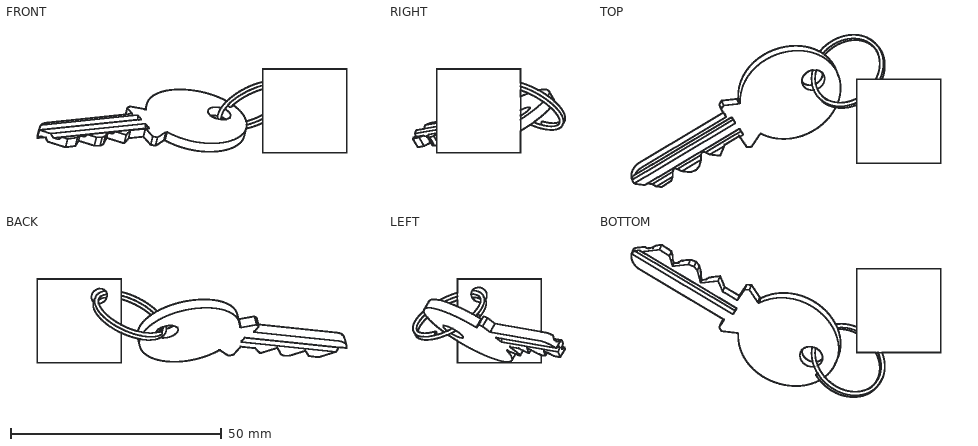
import cadquery as cq
import math

CUBE_SIDE = 20.0
TUNNEL_DIAMETER = 3.4

RING_CENTRE = (-12.12, 11.87, 1.28)
RING_AXIS = (-0.39, 0.445, 0.806)
RING_RADIUS = 8.9
WIRE_DIAMETER = 0.9
RING_PITCH = 0.96
RING_START_ANGLE = 222.0
RING_END_ANGLE = 867.0
RING_CENTRE_ANGLE = 540.0

KEY_ORIGIN = (-20.33, 9.80, -0.565)
KEY_LENGTH_DIRECTION = (0.8555, 0.5100, 0.0892)
KEY_TOP_NORMAL = (0.2068, -0.4946, 0.8442)
KEY_THICKNESS = 2.4
KEY_HOLE_DIAMETER = 5.5

BOW_CENTRE = (-6.75, -0.25)
BOW_RADIUS = 12.0
BOW_FRONT_REACH = 12.6

GUARD_NOTCH_U = -17.9
GUARD_NOTCH_OFFSET = 5.2
GUARD_TIP_U = -21.2
GUARD_TIP_OFFSET = 7.0
GUARD_BACK_U = -22.2
GUARD_BACK_OFFSET = 6.4

BLADE_BACK_V = 3.6
BLADE_ROOT_V = -3.0
BLADE_TIP_ARC = [(-45.8, BLADE_BACK_V), (-48.1, 2.8), (-49.45, 1.0)]
BLADE_CUTS = [
    (-49.1, 0.4),
    (-44.4, -4.03),
    (-41.6, -3.9),
    (-39.6, -1.9),
    (-36.7, -4.6),
    (-35.3, -4.9),
    (-34.1, -4.4),
    (-31.8, -1.9),
    (-28.6, -4.9),
    (-26.3, BLADE_ROOT_V),
]

GROOVE_END_U = -21.2
GROOVE_START_U = -52.0
GROOVE_DEPTH = 0.9
GROOVE_FLOOR_WIDTH = 0.8
GROOVE_MOUTH_WIDTH = 2.0
TOP_GROOVE_POSITIONS = (1.8, -2.1)
BOTTOM_GROOVE_POSITION = 0.0


def plane_on_ring(start_angle):
    """Plane through the ring's centre, square to its axis, with x at start_angle from level."""
    level = cq.Vector(1, 0, 0)
    axis = cq.Vector(*RING_AXIS).normalized()
    zero = (level - axis * level.dot(axis)).normalized()
    quarter = axis.cross(zero)
    angle = math.radians(start_angle)
    x_direction = zero * math.cos(angle) + quarter * math.sin(angle)
    return cq.Plane(origin=RING_CENTRE, xDir=x_direction, normal=axis)


def make_cube():
    """Cube with a curved tunnel that follows the ring from one side face to the next."""
    block = cq.Workplane("XY").box(CUBE_SIDE, CUBE_SIDE, CUBE_SIDE)
    tunnel = cq.Solid.makeTorus(
        RING_RADIUS, TUNNEL_DIAMETER / 2, cq.Vector(*RING_CENTRE), cq.Vector(*RING_AXIS)
    )
    return block.cut(cq.Workplane(tunnel)).solids()


def make_ring():
    """Helical wire, wound about local Z and then set on the ring's tilted plane."""
    turns = (RING_END_ANGLE - RING_START_ANGLE) / 360
    drop = RING_PITCH * (RING_CENTRE_ANGLE - RING_START_ANGLE) / 360
    path = cq.Wire.makeHelix(RING_PITCH, RING_PITCH * turns, RING_RADIUS)
    coil = (
        cq.Workplane("XZ")
        .center(RING_RADIUS, 0)
        .circle(WIRE_DIAMETER / 2)
        .sweep(cq.Workplane(path), isFrenet=True)
        .translate((0, 0, -drop))
    )
    return cq.Workplane(coil.val().moved(plane_on_ring(RING_START_ANGLE).location))


def bow_body():
    """Bow: half circle towards the blade, half ellipse at the far end."""
    u, v = BOW_CENTRE
    return (
        cq.Workplane("XY")
        .center(u, v)
        .moveTo(0, BOW_RADIUS)
        .threePointArc((-BOW_RADIUS, 0), (0, -BOW_RADIUS))
        .ellipseArc(BOW_FRONT_REACH, BOW_RADIUS, -90, 90, startAtCurrent=True)
        .close()
        .extrude(-KEY_THICKNESS)
    )


def guard_body():
    """Pair of pointed shoulders between bow and blade, mirrored about the bow's centre line."""
    u, v = BOW_CENTRE
    upper_side = [
        (u, v + GUARD_NOTCH_OFFSET),
        (GUARD_NOTCH_U, v + GUARD_NOTCH_OFFSET),
        (GUARD_TIP_U, v + GUARD_TIP_OFFSET),
        (GUARD_BACK_U, v + GUARD_BACK_OFFSET),
    ]
    lower_side = [(x, 2 * v - y) for x, y in reversed(upper_side)]
    return cq.Workplane("XY").polyline(upper_side + lower_side).close().extrude(-KEY_THICKNESS)


def blade_body():
    """Blade with a straight back, a rounded tip and the toothed cut along its lower side."""
    arc_start, arc_middle, arc_end = BLADE_TIP_ARC
    blade = cq.Workplane("XY").moveTo(BOW_CENTRE[0], BLADE_BACK_V).lineTo(*arc_start)
    blade = blade.threePointArc(arc_middle, arc_end)
    for point in BLADE_CUTS:
        blade = blade.lineTo(*point)
    return blade.lineTo(BOW_CENTRE[0], BLADE_ROOT_V).close().extrude(-KEY_THICKNESS)


def groove_cutter(v, face_w, inward):
    """Trapezoidal groove along the blade; inward is the sign of w that leads into the key."""
    mouth = GROOVE_MOUTH_WIDTH / 2
    floor = GROOVE_FLOOR_WIDTH / 2
    floor_w = face_w + inward * GROOVE_DEPTH
    section = [(v - mouth, face_w), (v + mouth, face_w), (v + floor, floor_w), (v - floor, floor_w)]
    return (
        cq.Workplane("YZ", origin=(GROOVE_START_U, 0, 0))
        .polyline(section)
        .close()
        .extrude(GROOVE_END_U - GROOVE_START_U)
    )


def make_key():
    """Flat key, made in its own axes and then set in its tilted place."""
    key = bow_body().union(guard_body()).union(blade_body())
    for v in TOP_GROOVE_POSITIONS:
        key = key.cut(groove_cutter(v, 0, -1))
    key = key.cut(groove_cutter(BOTTOM_GROOVE_POSITION, -KEY_THICKNESS, 1))
    key = key.cut(cq.Workplane("XY").circle(KEY_HOLE_DIAMETER / 2).extrude(-KEY_THICKNESS))
    place = cq.Plane(origin=KEY_ORIGIN, xDir=KEY_LENGTH_DIRECTION, normal=KEY_TOP_NORMAL)
    return cq.Workplane(key.solids().val().moved(place.location))


cube = make_cube()
ring = make_ring()
key = make_key()
result = cq.Compound.makeCompound([cube.val(), ring.val(), key.val()])